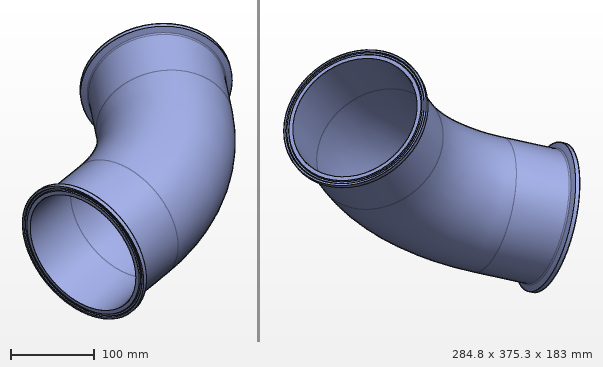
import cadquery as cq
import math

tube_radius = 165 / 2
bore_radius = 159.0 / 2
straight_length = 79.2
bend_radius = 248.0
bend_angle = 45

flange_radius = 183.0 / 2
rim_thickness = 5.5
back_slope = math.radians(20)
neck_fillet = 2.0
groove_radius = 86.7
groove_width = 4.0
groove_floor_width = 2.3
groove_depth = 1.5


def flanged_end():
    """Straight tube with its flange face on y = 0, running along +Y."""
    cone_end = rim_thickness + (flange_radius - tube_radius) * math.tan(back_slope)
    tangent_length = neck_fillet * math.tan((math.pi / 2 - back_slope) / 2)
    arc_start = (
        tube_radius + tangent_length * math.cos(back_slope),
        cone_end - tangent_length * math.sin(back_slope),
    )
    arc_end = (tube_radius, cone_end + tangent_length)
    body = (
        cq.Workplane("XY")
        .moveTo(bore_radius, 0)
        .lineTo(flange_radius, 0)
        .lineTo(flange_radius, rim_thickness)
        .lineTo(*arc_start)
        .tangentArcPoint(arc_end, relative=False)
        .lineTo(tube_radius, straight_length)
        .lineTo(bore_radius, straight_length)
        .close()
        .revolve(360, (0, 0, 0), (0, 1, 0))
    )
    groove = (
        cq.Workplane("XY")
        .moveTo(groove_radius - groove_width / 2, 0)
        .lineTo(groove_radius - groove_floor_width / 2, groove_depth)
        .lineTo(groove_radius + groove_floor_width / 2, groove_depth)
        .lineTo(groove_radius + groove_width / 2, 0)
        .close()
        .revolve(360, (0, 0, 0), (0, 1, 0))
    )
    return body.cut(groove)


def bend():
    """Curved tube turning from +Y towards -X about an axis parallel to Z."""
    return (
        cq.Workplane("XZ", origin=(0, straight_length, 0))
        .circle(tube_radius)
        .circle(bore_radius)
        .revolve(bend_angle, (-bend_radius, 0, 0), (-bend_radius, 1, 0))
    )


inlet = flanged_end()

bend_centre = (-bend_radius, straight_length, 0)
outlet = inlet.mirror("XZ", (0, straight_length, 0)).rotate(
    bend_centre, (-bend_radius, straight_length, 1), bend_angle
)

result = inlet.union(bend()).union(outlet)